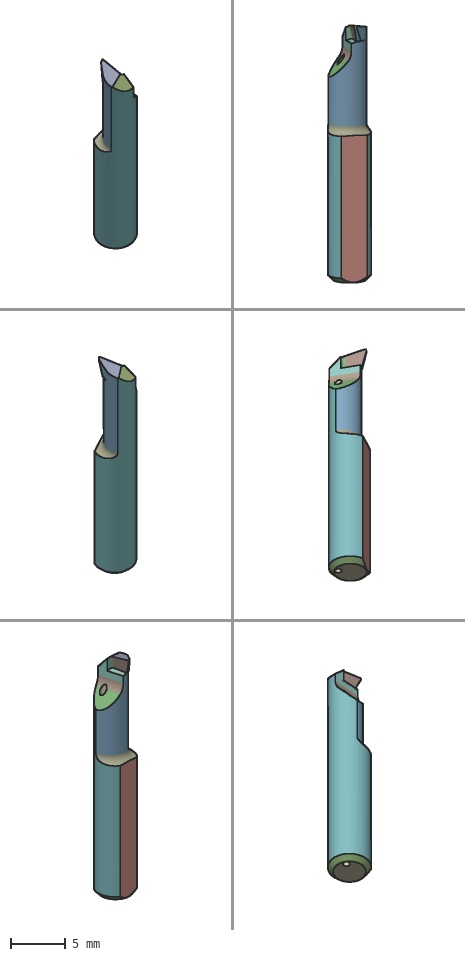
import math

import cadquery as cq

LENGTH = 24.0
SHANK_RADIUS = 2.0
FLAT_X = -1.55
SHOULDER_Z = 13.78
BOTTOM_CHAMFER = 0.5

NECK_RADIUS = 1.8
NECK_LEFT_X = -1.0
NECK_X = NECK_LEFT_X + NECK_RADIUS
NECK_FILLET = 0.75

CHIP_FACE_Y = 0.1
CHIP_FACE_BOTTOM_Z = 21.55
RUNOUT_RADIUS = 1.5
RUNOUT_ANGLE = math.radians(40)

TIP_Y = 0.03
TOOTH_BOTTOM_Z = 22.45
NOSE_RADIUS = 0.13
END_EDGE_ANGLE = math.radians(7)
SIDE_EDGE_ANGLE = math.radians(18)
END_RELIEF = math.tan(math.radians(10))
SIDE_RELIEF = math.tan(math.radians(15))
TOOTH_BACK_ANGLE = math.radians(225)

SIDE_RAKE = math.tan(math.radians(4))
AXIAL_RAKE = math.tan(math.radians(14))
POCKET_LENGTH = 2.43
POCKET_DEPTH_DOWN = 1.62
POCKET_FILLET = 0.25

END_CHAMFER = 1.58

COOLANT_DIAMETER = 0.65
COOLANT_X = 1.0
COOLANT_Y = 0.56

MARGIN = 3.0


def make_shank():
    """Round bar with a chamfered foot and a clamping flat."""
    bar = cq.Workplane("XY").circle(SHANK_RADIUS).extrude(LENGTH)
    bar = bar.faces("<Z").chamfer(BOTTOM_CHAMFER)
    flat = cq.Workplane("XY").box(
        MARGIN, 2 * MARGIN, 2 * LENGTH, centered=(False, True, False)
    ).translate((FLAT_X - MARGIN, 0, 0))
    return bar.cut(flat)


def make_neck_relief():
    """Ring around the eccentric neck that leaves a filleted shoulder."""
    fillet_top_z = SHOULDER_Z + NECK_FILLET
    outer = NECK_RADIUS + MARGIN
    bend = NECK_FILLET * math.sqrt(0.5)
    profile = (
        cq.Workplane("XZ")
        .moveTo(NECK_RADIUS, LENGTH + MARGIN)
        .lineTo(NECK_RADIUS, fillet_top_z)
        .threePointArc(
            (NECK_RADIUS + NECK_FILLET - bend, fillet_top_z - bend),
            (NECK_RADIUS + NECK_FILLET, SHOULDER_Z),
        )
        .lineTo(outer, SHOULDER_Z)
        .lineTo(outer, LENGTH + MARGIN)
        .close()
    )
    ring = profile.revolve(360, (0, 0, 0), (0, 1, 0))
    return ring.translate((NECK_X, 0, 0))


def make_tooth_blank():
    """Block outside the neck, closed by a wall tangent to the neck."""
    tangent_x = NECK_X + NECK_RADIUS * math.cos(TOOTH_BACK_ANGLE)
    tangent_y = NECK_RADIUS * math.sin(TOOTH_BACK_ANGLE)
    reach = MARGIN / 2
    return (
        cq.Workplane("XY", origin=(0, 0, TOOTH_BOTTOM_Z))
        .moveTo(NECK_X, CHIP_FACE_Y)
        .lineTo(tangent_x, tangent_y)
        .lineTo(tangent_x - reach, tangent_y + reach)
        .lineTo(tangent_x - reach, CHIP_FACE_Y)
        .close()
        .extrude(LENGTH + MARGIN - TOOTH_BOTTOM_Z)
    )


def relieved(outline):
    """Extrude an XZ outline along the relief direction, from +Y to -Y."""
    sweep = cq.Vector(SIDE_RELIEF, -1, -END_RELIEF)
    wire = outline.val().translate(sweep * -MARGIN + cq.Vector(0, TIP_Y, 0))
    return cq.Workplane(cq.Solid.extrudeLinear(wire, [], sweep * (2 * MARGIN)))


def on_nose(angle):
    """XZ point of the nose arc at an angle measured from +X."""
    return (
        FLAT_X + NOSE_RADIUS * (1 + math.cos(angle)),
        LENGTH - NOSE_RADIUS * (1 - math.sin(angle)),
    )


def make_tooth_envelope():
    """Side edge, rounded nose and end edge, swept along the relief direction."""
    end_angle = math.pi / 2 - END_EDGE_ANGLE
    side_angle = math.pi + SIDE_EDGE_ANGLE
    end_start = on_nose(end_angle)
    side_start = on_nose(side_angle)
    nose_middle = on_nose((end_angle + side_angle) / 2)
    run = 2 * MARGIN
    outline = (
        cq.Workplane("XZ")
        .moveTo(side_start[0] + run * math.tan(SIDE_EDGE_ANGLE), side_start[1] - run)
        .lineTo(*side_start)
        .threePointArc(nose_middle, end_start)
        .lineTo(end_start[0] + run, end_start[1] - run * math.tan(END_EDGE_ANGLE))
        .lineTo(end_start[0] + run, side_start[1] - run)
        .close()
        .wire()
    )
    return relieved(outline)


def make_end_cut():
    """Material above the sloping end face."""
    run = 2 * MARGIN
    rise = run * math.tan(END_EDGE_ANGLE)
    peak_x, peak_z = on_nose(math.pi / 2 - END_EDGE_ANGLE)
    outline = (
        cq.Workplane("XZ")
        .moveTo(peak_x - run, peak_z + rise)
        .lineTo(peak_x + run, peak_z - rise)
        .lineTo(peak_x + run, peak_z + run)
        .lineTo(peak_x - run, peak_z + run)
        .close()
        .wire()
    )
    return relieved(outline)


def make_end_chamfer():
    """45 degree wedge off the +X side of the end."""
    reach = END_CHAMFER + MARGIN
    return (
        cq.Workplane("XZ")
        .moveTo(SHANK_RADIUS - reach, LENGTH - END_CHAMFER + reach)
        .lineTo(SHANK_RADIUS + MARGIN, LENGTH - END_CHAMFER - MARGIN)
        .lineTo(SHANK_RADIUS + MARGIN, LENGTH - END_CHAMFER + reach)
        .close()
        .extrude(MARGIN, both=True)
    )


def make_chip_space():
    """Flat chip face with a radiused, sloping run-out toward +Y."""
    def on_bend(angle):
        return (
            CHIP_FACE_Y + RUNOUT_RADIUS * (1 - math.cos(angle)),
            CHIP_FACE_BOTTOM_Z - RUNOUT_RADIUS * math.sin(angle),
        )

    slope_y, slope_z = on_bend(RUNOUT_ANGLE)
    return (
        cq.Workplane("YZ")
        .moveTo(CHIP_FACE_Y, LENGTH + MARGIN)
        .lineTo(CHIP_FACE_Y, CHIP_FACE_BOTTOM_Z)
        .threePointArc(on_bend(RUNOUT_ANGLE / 2), (slope_y, slope_z))
        .lineTo(slope_y + MARGIN, slope_z - MARGIN / math.tan(RUNOUT_ANGLE))
        .lineTo(slope_y + MARGIN, LENGTH + MARGIN)
        .close()
        .extrude(MARGIN, both=True)
    )


def make_rake_pocket():
    """Box recess standing on the rake face, from the tip inward and downward."""
    rake_face = cq.Plane(
        origin=(FLAT_X, TIP_Y, LENGTH),
        xDir=(1, -SIDE_RAKE, 0),
        normal=(SIDE_RAKE, 1, -AXIAL_RAKE),
    )
    pocket = (
        cq.Workplane(rake_face)
        .moveTo(-MARGIN, -MARGIN)
        .lineTo(POCKET_LENGTH, -MARGIN)
        .lineTo(POCKET_LENGTH, POCKET_DEPTH_DOWN)
        .lineTo(-MARGIN, POCKET_DEPTH_DOWN)
        .close()
        .extrude(MARGIN)
    )
    wall_foot = rake_face.toWorldCoords((POCKET_LENGTH, (POCKET_DEPTH_DOWN - MARGIN) / 2, 0))
    return pocket.edges(cq.selectors.NearestToPointSelector(wall_foot.toTuple())).fillet(POCKET_FILLET)


def make_coolant_hole():
    """Straight coolant bore parallel to the axis."""
    return (
        cq.Workplane("XY")
        .center(COOLANT_X, COOLANT_Y)
        .circle(COOLANT_DIAMETER / 2)
        .extrude(LENGTH)
    )


body = make_shank().cut(make_neck_relief())
body = body.cut(make_end_cut())
body = body.union(make_tooth_blank().intersect(make_tooth_envelope()))
body = body.cut(make_end_chamfer())
body = body.cut(make_chip_space())
body = body.cut(make_rake_pocket())
result = body.cut(make_coolant_hole())